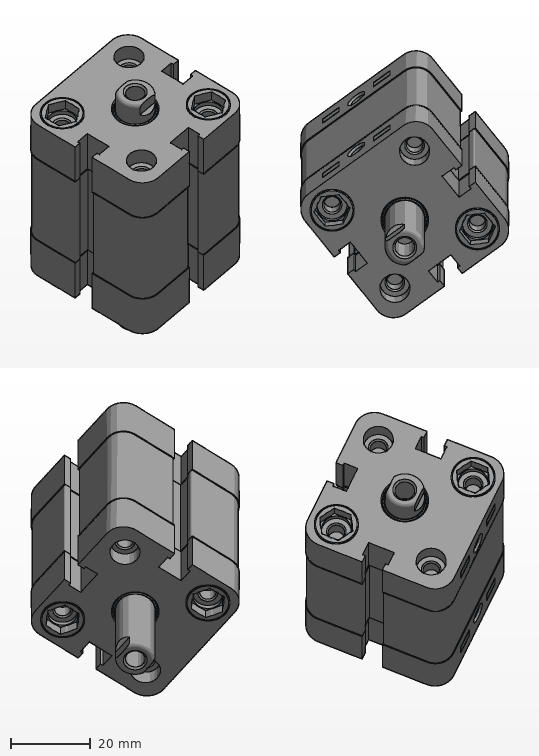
import cadquery as cq

CAP_WIDTH = 40.3
CAP_HEIGHT = 12.5
CAP_INNER_CORNER_RADIUS = 5.1
CAP_OUTER_CORNER_RADIUS = 5.3
BARREL_CORNER_RADIUS = 4.9
BARREL_LENGTH = 28.9
BARREL_STEP = 0.25
ROD_DIAMETER = 10.0
ROD_LENGTH = 81.0
ROD_TOP_STICKOUT = 6.0

BARREL_WIDTH = CAP_WIDTH - 2 * BARREL_STEP
UPPER_CAP_BOTTOM = CAP_HEIGHT + BARREL_LENGTH
HOUSING_TOP = UPPER_CAP_BOTTOM + CAP_HEIGHT
ROD_TOP = HOUSING_TOP + ROD_TOP_STICKOUT
ROD_BOTTOM = ROD_TOP - ROD_LENGTH

SLOT_ANGLES = (0, 90, 270)
SLOT_MOUTH_WIDTH = 5.6
SLOT_INNER_WIDTH = 7.05
SLOT_LIP = 1.95
SLOT_DEPTH = 5.7
BARREL_SLOT_INNER_WIDTH = 6.6
BARREL_LIP_RADIUS = 0.5

SLOT_LIP_INNER_X = CAP_WIDTH / 2 - SLOT_LIP
SLOT_FLOOR_X = CAP_WIDTH / 2 - SLOT_DEPTH

CORNER_OFFSET = 13.05
PLAIN_HOLE_DIAMETER = 7.5
PLAIN_HOLE_DEPTH = 4.5
SCREW_HEAD_DIAMETER = 11.1
SCREW_HEAD_TOP_DIAMETER = 10.45
SOCKET_ACROSS_CORNERS = 9.1
SOCKET_RELIEF_DIAMETER = 8.0
SOCKET_HEX_DEPTH = 2.9
SOCKET_SEAT_DIAMETER = 7.5
SOCKET_DEPTH = 4.2
THREAD_DIAMETER = 4.95
THREAD_CORE_DIAMETER = 4.1
THREAD_DEPTH = 4.05

PORT_BELOW_FACE = 7.6
PORT_RIM_DIAMETER = 5.35
PORT_DEPTH = 6.5

LABEL_WIDTH = 5.2
LABEL_HEIGHT = 3.0
LABEL_OFFSET = 8.0
LABEL_BELOW_FACE = 6.3
LABEL_DEPTH = 0.1

WIPER_RIM_DIAMETER = 12.0
WIPER_GROOVE_DIAMETER = 11.4
WIPER_LIP_OUTER_DIAMETER = 11.1
WIPER_LIP_INNER_DIAMETER = 10.45
WIPER_DEPTH = 0.5

ROD_END_RADIUS = 1.2
ROD_FLATS_WIDTH = 8.0
ROD_FLATS_LENGTH = 3.3
ROD_THREAD_DIAMETER = 6.0
ROD_THREAD_CORE_DIAMETER = 4.95
ROD_THREAD_DEPTH = 9.7


def rounded_square(width, corner_radius):
    return cq.Sketch().rect(width, width).vertices().fillet(corner_radius)


def slot_cutters(half_profile, height):
    """Vertical slots grown from half of one slot's profile, one for each slotted side."""
    half_slot = half_profile.extrude(height)
    slot = half_slot.union(half_slot.mirror("XZ"))
    cutters = cq.Workplane("XY")
    for angle in SLOT_ANGLES:
        cutters = cutters.add(slot.rotate((0, 0, 0), (0, 0, 1), angle))
    return cutters.combine()


def countersunk_hole(rim_diameter, core_diameter, depth):
    """Blind hole cutter going down from the origin, with a 45 degree rim."""
    rim_radius = rim_diameter / 2
    core_radius = core_diameter / 2
    outline = [
        (0, 0),
        (rim_radius, 0),
        (core_radius, core_radius - rim_radius),
        (core_radius, -depth),
        (0, -depth),
    ]
    return cq.Workplane("XZ").polyline(outline).close().revolve(360, (0, 0, 0), (0, 1, 0))


def screw_gap():
    """V-shaped gap between the 45 degree edge of a screw head and the wall of its hole."""
    head_radius = SCREW_HEAD_TOP_DIAMETER / 2
    wall_radius = SCREW_HEAD_DIAMETER / 2
    outline = [(head_radius, 0), (wall_radius, 0), (wall_radius, head_radius - wall_radius)]
    return cq.Workplane("XZ").polyline(outline).close().revolve(360, (0, 0, 0), (0, 1, 0))


def thread_cutter(depth_below_face):
    thread = countersunk_hole(THREAD_DIAMETER, THREAD_CORE_DIAMETER, THREAD_DEPTH)
    return thread.translate((0, 0, -depth_below_face))


def screw_cutter():
    """Hexagon socket with an internal thread, and the gap around the screw head."""
    hexagon = cq.Workplane("XY").polygon(6, SOCKET_ACROSS_CORNERS)
    cutter = hexagon.extrude(-SOCKET_HEX_DEPTH)
    relief = cq.Workplane("XY").circle(SOCKET_RELIEF_DIAMETER / 2).extrude(-SOCKET_HEX_DEPTH)
    seat = cq.Workplane("XY").circle(SOCKET_SEAT_DIAMETER / 2).extrude(-SOCKET_DEPTH)
    return cutter.union(relief).union(seat).union(thread_cutter(SOCKET_DEPTH)).union(screw_gap())


def plain_hole_cutter():
    hole = cq.Workplane("XY").circle(PLAIN_HOLE_DIAMETER / 2).extrude(-PLAIN_HOLE_DEPTH)
    return hole.union(thread_cutter(PLAIN_HOLE_DEPTH))


def port_cutter():
    hole = countersunk_hole(PORT_RIM_DIAMETER, THREAD_CORE_DIAMETER, PORT_DEPTH)
    hole = hole.rotate((0, 0, 0), (0, 1, 0), -90)
    return hole.translate((-CAP_WIDTH / 2, 0, CAP_HEIGHT - PORT_BELOW_FACE))


def wiper_cutter():
    """Recess around the rod with a bevelled rim and a raised lip inside it."""
    rim_radius = WIPER_RIM_DIAMETER / 2
    groove_radius = WIPER_GROOVE_DIAMETER / 2
    rod_radius = ROD_DIAMETER / 2
    outline = [
        (rod_radius, 0),
        (rim_radius, 0),
        (groove_radius, groove_radius - rim_radius),
        (groove_radius, -WIPER_DEPTH),
        (WIPER_LIP_OUTER_DIAMETER / 2, -WIPER_DEPTH),
        (WIPER_LIP_INNER_DIAMETER / 2, groove_radius - rim_radius),
        (rod_radius, -WIPER_DEPTH),
    ]
    return cq.Workplane("XZ").polyline(outline).close().revolve(360, (0, 0, 0), (0, 1, 0))


def make_cap():
    """End cap standing on Z = 0, with its outer face upward."""
    half_width = CAP_WIDTH / 2
    slot_profile = (
        cq.Workplane("XY")
        .moveTo(half_width, 0)
        .lineTo(half_width, SLOT_MOUTH_WIDTH / 2)
        .lineTo(SLOT_LIP_INNER_X, SLOT_MOUTH_WIDTH / 2)
        .lineTo(SLOT_LIP_INNER_X, SLOT_INNER_WIDTH / 2)
        .lineTo(SLOT_FLOOR_X, SLOT_INNER_WIDTH / 2)
        .lineTo(SLOT_FLOOR_X, 0)
        .close()
    )
    inner_outline = rounded_square(CAP_WIDTH, CAP_INNER_CORNER_RADIUS)
    outer_outline = rounded_square(CAP_WIDTH, CAP_OUTER_CORNER_RADIUS)
    outer_place = cq.Location(cq.Vector(0, 0, CAP_HEIGHT))
    cap = cq.Workplane("XY").placeSketch(inner_outline, outer_outline.moved(outer_place)).loft(ruled=True)
    cap = cap.cut(slot_cutters(slot_profile, CAP_HEIGHT))
    cap = cap.cut(cq.Workplane("XY").circle(ROD_DIAMETER / 2).extrude(CAP_HEIGHT))
    cap = cap.cut(wiper_cutter().translate((0, 0, CAP_HEIGHT)))

    for side in (-1, 1):
        corner = CORNER_OFFSET * side
        cap = cap.cut(screw_cutter().translate((corner, corner, CAP_HEIGHT)))
        cap = cap.cut(plain_hole_cutter().translate((corner, -corner, CAP_HEIGHT)))
        label = cq.Workplane("XY").box(2 * LABEL_DEPTH, LABEL_WIDTH, LABEL_HEIGHT)
        label_height = CAP_HEIGHT - LABEL_BELOW_FACE
        cap = cap.cut(label.translate((-half_width, LABEL_OFFSET * side, label_height)))
    return cap.cut(port_cutter())


def make_barrel():
    """Barrel standing on Z = 0, with rounded slot mouths."""
    half_width = BARREL_WIDTH / 2
    slot_profile = (
        cq.Workplane("XY")
        .moveTo(half_width, 0)
        .lineTo(half_width, SLOT_MOUTH_WIDTH / 2 + BARREL_LIP_RADIUS)
        .radiusArc((half_width - BARREL_LIP_RADIUS, SLOT_MOUTH_WIDTH / 2), BARREL_LIP_RADIUS)
        .lineTo(SLOT_LIP_INNER_X, SLOT_MOUTH_WIDTH / 2)
        .lineTo(SLOT_LIP_INNER_X, BARREL_SLOT_INNER_WIDTH / 2)
        .lineTo(SLOT_FLOOR_X, BARREL_SLOT_INNER_WIDTH / 2)
        .lineTo(SLOT_FLOOR_X, 0)
        .close()
    )
    outline = rounded_square(BARREL_WIDTH, BARREL_CORNER_RADIUS)
    barrel = cq.Workplane("XY").placeSketch(outline).extrude(BARREL_LENGTH)
    barrel = barrel.cut(slot_cutters(slot_profile, BARREL_LENGTH))
    return barrel.cut(cq.Workplane("XY").circle(ROD_DIAMETER / 2).extrude(BARREL_LENGTH))


def rod_flat_cutters():
    """Two wrench flats at the top of the rod, running out at 45 degrees."""
    half_width = ROD_FLATS_WIDTH / 2
    rod_radius = ROD_DIAMETER / 2
    flat_end = ROD_TOP - ROD_FLATS_LENGTH
    outline = [
        (half_width, ROD_TOP),
        (half_width, flat_end),
        (rod_radius, flat_end - (rod_radius - half_width)),
        (rod_radius, ROD_TOP),
    ]
    flat = cq.Workplane("XZ").polyline(outline).close().extrude(rod_radius, both=True)
    return flat.union(flat.mirror("YZ"))


def make_rod():
    base = cq.Workplane("XY", origin=(0, 0, ROD_BOTTOM))
    rod = base.circle(ROD_DIAMETER / 2).extrude(ROD_LENGTH)
    rod = rod.edges("%CIRCLE").fillet(ROD_END_RADIUS)
    thread = countersunk_hole(ROD_THREAD_DIAMETER, ROD_THREAD_CORE_DIAMETER, ROD_THREAD_DEPTH)
    end_cutter = rod_flat_cutters().union(thread.translate((0, 0, ROD_TOP)))
    middle = (ROD_TOP + ROD_BOTTOM) / 2
    other_end_cutter = end_cutter.mirror("XY", (0, 0, middle))
    return rod.cut(end_cutter).cut(other_end_cutter)


caps = []
for turn, base_height in ((0, UPPER_CAP_BOTTOM), (180, CAP_HEIGHT)):
    cap = make_cap().rotate((0, 0, 0), (1, 0, 0), turn)
    caps.append(cap.translate((0, 0, base_height)).val())

barrel = make_barrel().translate((0, 0, CAP_HEIGHT))
rod = make_rod()

result = cq.Compound.makeCompound([barrel.val(), *caps, rod.val()])